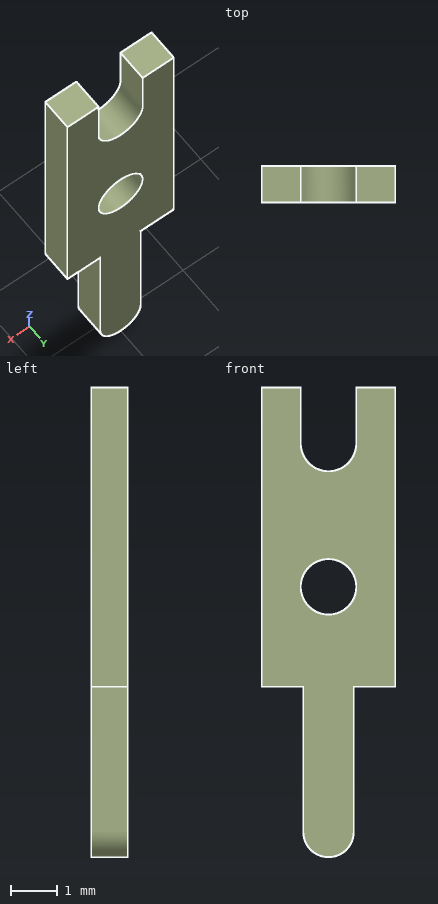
import cadquery as cq

thickness = 0.8
overall_height = 10.2

plate_width = 2.9
plate_height = 6.5

pin_width = 1.1
pin_tip_radius = pin_width / 2
pin_length = overall_height - plate_height

bore_diameter = 1.2
bore_height = 2.17

slot_width = bore_diameter
slot_radius = slot_width / 2
slot_depth = 1.82
slot_centre_height = plate_height - slot_depth + slot_radius


def make_blank():
    """Plate with the pin, its lower edge at Z = 0, centred on X and Y."""
    half_plate = plate_width / 2
    half_pin = pin_width / 2
    tip_start = -pin_length + pin_tip_radius
    return (
        cq.Workplane("XZ")
        .moveTo(-half_plate, plate_height)
        .lineTo(-half_plate, 0)
        .lineTo(-half_pin, 0)
        .lineTo(-half_pin, tip_start)
        .threePointArc((0, -pin_length), (half_pin, tip_start))
        .lineTo(half_pin, 0)
        .lineTo(half_plate, 0)
        .lineTo(half_plate, plate_height)
        .close()
        .extrude(thickness / 2, both=True)
    )


def make_bore():
    """Cylinder through the full thickness of the plate."""
    return (
        cq.Workplane("XZ")
        .center(0, bore_height)
        .circle(bore_diameter / 2)
        .extrude(thickness / 2, both=True)
    )


def make_slot():
    """Round-bottomed slot, open at the top edge of the plate."""
    return (
        cq.Workplane("XZ")
        .moveTo(-slot_radius, plate_height)
        .lineTo(-slot_radius, slot_centre_height)
        .threePointArc((0, plate_height - slot_depth), (slot_radius, slot_centre_height))
        .lineTo(slot_radius, plate_height)
        .close()
        .extrude(thickness / 2, both=True)
    )


result = make_blank().cut(make_bore()).cut(make_slot())